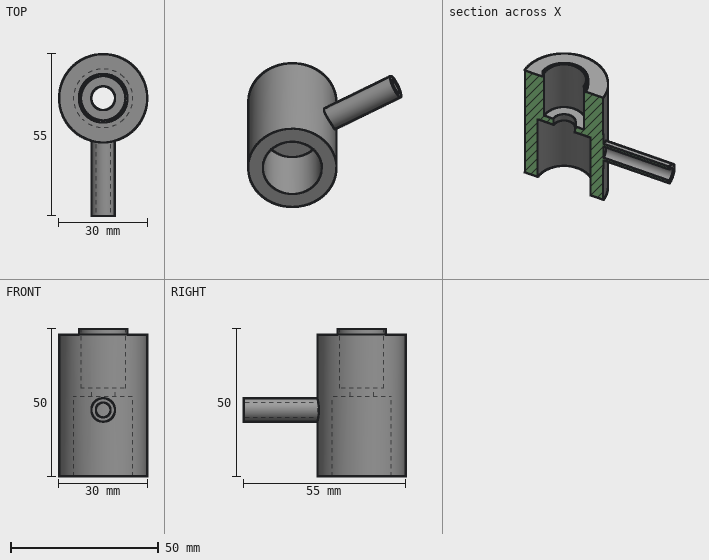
import cadquery as cq

body_diameter = 30.0
body_height = 48.0

collar_diameter = 16.5
collar_height = 2.0
total_height = body_height + collar_height

upper_chamber_diameter = 15.0
upper_chamber_depth = 20.0
lower_chamber_diameter = 20.0
web_thickness = 3.0
web_hole_diameter = 8.0
web_top = total_height - upper_chamber_depth
web_bottom = web_top - web_thickness

tube_diameter = 8.0
tube_bore_diameter = 5.0
tube_length = 25.0
tube_reach = body_diameter / 2 + tube_length
tube_axis_height = 22.5


def upright_cylinder(diameter, bottom, top):
    """Cylinder on the Z axis between two heights."""
    return cq.Workplane("XY").workplane(offset=bottom).circle(diameter / 2).extrude(top - bottom)


def side_cylinder(diameter):
    """Cylinder from the body axis out to the free end of the side tube."""
    return cq.Workplane("XZ").center(0, tube_axis_height).circle(diameter / 2).extrude(tube_reach)


def make_side_tube():
    return side_cylinder(tube_diameter).cut(side_cylinder(tube_bore_diameter))


def make_body():
    body = upright_cylinder(body_diameter, 0, body_height)
    collar = upright_cylinder(collar_diameter, body_height, total_height)
    return body.union(collar)


def make_chambers():
    upper_chamber = upright_cylinder(upper_chamber_diameter, web_top, total_height)
    web_hole = upright_cylinder(web_hole_diameter, web_bottom, web_top)
    lower_chamber = upright_cylinder(lower_chamber_diameter, 0, web_bottom)
    return upper_chamber.union(web_hole).union(lower_chamber)


result = make_side_tube().union(make_body()).cut(make_chambers())